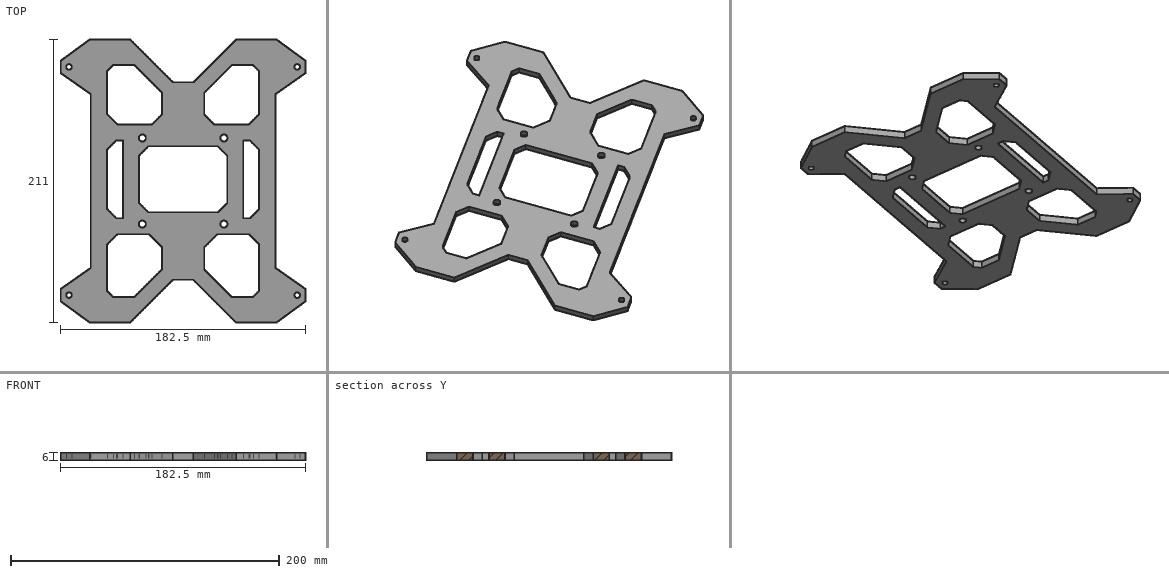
import cadquery as cq

length = 211.0
width = 182.5
thickness = 6.0
half_length = length / 2
half_width = width / 2

waist_half_width = 69.0
arm_outer_x = 69.6
arm_inner_x = 39.5
notch_half_width = 7.5
notch_y = half_length - (arm_inner_x - notch_half_width)
ear_outer_y = 89.7
ear_inner_y = 80.4
ear_root_y = 64.8

ear_hole_diameter = 4.0
ear_hole_offset = 85.0
screw_hole_diameter = 5.0
screw_hole_x = 30.4
screw_hole_y = 32.0

opening_center_y = 1.3
corner_cut = 6.8
window_half_width = 32.7
window_half_length = 24.5
slot_half_length = 29.0
slot_inner_x = 45.0
side_x = 56.5

pocket_inner_x = 15.8
pocket_outer_y = 86.3
pocket_diagonal_x = 36.3
pocket_diagonal_y = pocket_outer_y - (pocket_diagonal_x - pocket_inner_x)
pocket_outer_cut = 4.5
pocket_near_half_span = 41.0
pocket_side_cut = 7.5
pocket_upper_inner_cut = 7.4
pocket_lower_inner_cut = 9.7

SIDES = (-1, 1)


def prism(points):
    """Full-thickness prism standing on the XY plane."""
    return cq.Workplane("XY").polyline(points).close().extrude(thickness)


def make_plate():
    quarter = [
        (waist_half_width, ear_root_y),
        (half_width, ear_inner_y),
        (half_width, ear_outer_y),
        (arm_outer_x, half_length),
        (arm_inner_x, half_length),
        (notch_half_width, notch_y),
    ]
    upper = quarter + [(-x, y) for x, y in reversed(quarter)]
    lower = [(-x, -y) for x, y in upper]
    return prism(upper + lower)


def make_window():
    return (
        cq.Workplane("XY")
        .center(0, opening_center_y)
        .rect(2 * window_half_width, 2 * window_half_length)
        .extrude(thickness)
        .edges("|Z")
        .chamfer(corner_cut)
    )


def make_slot(side):
    top = opening_center_y + slot_half_length
    bottom = opening_center_y - slot_half_length
    points = [
        (slot_inner_x, bottom),
        (side_x - corner_cut, bottom),
        (side_x, bottom + corner_cut),
        (side_x, top - corner_cut),
        (side_x - corner_cut, top),
        (slot_inner_x, top),
    ]
    return prism([(side * x, y) for x, y in points])


def make_pocket(side, end, inner_cut):
    near_y = pocket_near_half_span + end * opening_center_y
    points = [
        (pocket_inner_x, near_y + inner_cut),
        (pocket_inner_x + inner_cut, near_y),
        (side_x - pocket_side_cut, near_y),
        (side_x, near_y + pocket_side_cut),
        (side_x, pocket_outer_y - pocket_outer_cut),
        (side_x - pocket_outer_cut, pocket_outer_y),
        (pocket_diagonal_x, pocket_outer_y),
        (pocket_inner_x, pocket_diagonal_y),
    ]
    return prism([(side * x, end * y) for x, y in points])


def make_holes(x, y, diameter):
    centers = [(i * x, j * y) for i in SIDES for j in SIDES]
    return cq.Workplane("XY").pushPoints(centers).circle(diameter / 2).extrude(thickness)


result = make_plate().cut(make_window())
for side in SIDES:
    result = result.cut(make_slot(side))
    result = result.cut(make_pocket(side, 1, pocket_upper_inner_cut))
    result = result.cut(make_pocket(side, -1, pocket_lower_inner_cut))
result = result.cut(make_holes(ear_hole_offset, ear_hole_offset, ear_hole_diameter))
result = result.cut(make_holes(screw_hole_x, screw_hole_y, screw_hole_diameter))